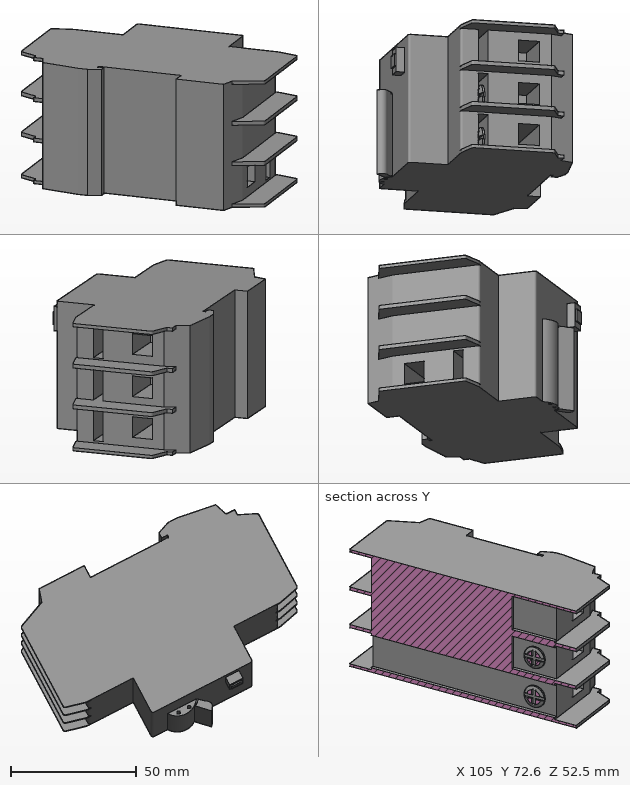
import cadquery as cq
import math

LENGTH = 105.0
WIDTH = 52.5
LEVER_TIP_Y = 72.64
TIP_X = LENGTH / 2

NECK_TOP_Y = 65.5
SHOULDER_Y = 49.4
PLATE_TIP_Y = 47.2
RAIL_Y = 5.4

NECK_LEFT_X = -22.7
NECK_RIGHT_X = 22.5
WALL_LEFT_X = -42.6
WALL_RIGHT_X = 42.5
SHOULDER_END_X = 43.4
RAIL_LEFT_X = -16.4
RAIL_RIGHT_X = 18.7
CLIP_NOSE_X = -13.8
FOOT_LEFT_X = -39.1
FOOT_RIGHT_X = 38.9
TAPER_TOP_Y = 12.1
LATCH_BACK_Y = 2.4
LATCH_STEP_X = -44.9
LATCH_STEP_Y = 7.6
LATCH_STEP_TOP_Y = 10.0
LATCH_FLAT_LEFT_X = -23.1
LATCH_FLAT_RIGHT_X = -19.0
CLIP_NOSE_Y = 2.0
CLIP_TOP_Y = 4.4
LEFT_TIP_BOTTOM_Y = 13.4
RIGHT_TIP_BOTTOM_Y = 10.3
RIGHT_TAPER_END_Y = 5.2
CORNER_RADIUS = 1.0

OUTER_PLATE_THICKNESS = 1.35
INNER_PLATE_THICKNESS = 1.6
LOWER_INNER_PLATE_Z = 17.35
UPPER_INNER_PLATE_Z = 34.15
PLATES = [
    (0.0, OUTER_PLATE_THICKNESS),
    (LOWER_INNER_PLATE_Z, INNER_PLATE_THICKNESS),
    (UPPER_INNER_PLATE_Z, INNER_PLATE_THICKNESS),
    (WIDTH - OUTER_PLATE_THICKNESS, OUTER_PLATE_THICKNESS),
]

POLE_CENTERS_Z = [9.4, 26.2, 43.6]
WIRE_HOLE_SIZE = 8.5
WIRE_HOLE_Y = 21.3
SLOT_FLOOR_Y = 38.1
SLOT_HEIGHT = 4.1
SLOT_RANGES_Z = [
    (2.2, 16.5),
    (LOWER_INNER_PLATE_Z + INNER_PLATE_THICKNESS, 33.3),
    (36.4, WIDTH - OUTER_PLATE_THICKNESS),
]
POCKET_END_X = NECK_LEFT_X

SCREW_CENTERS_Z = [8.7, 26.1]
SCREW_X = (WALL_LEFT_X + NECK_LEFT_X) / 2
SCREW_DIAMETER = 9.4
SCREW_RIM_HEIGHT = 0.8
SCREW_DOME_HEIGHT = 1.0
SCREW_CROSS_WIDTH = 1.4
SCREW_CROSS_LENGTH = 6.5
SCREW_CROSS_DEPTH = 1.2

BUTTON_X = -13.55
BUTTON_Z = 43.4
BUTTON_LENGTH = 6.0
BUTTON_WIDTH = 10.0
BUTTON_HEIGHT = 3.5
BUTTON_CAP_SIZE = 5.0
BUTTON_CAP_HEIGHT = 0.6

TOGGLE_WIDTH = 34.5
DOME_X = 9.0
DOME_TOP_Y = 69.0
DOME_RADIUS = 7.7
PIN_HOLE_DIAMETER = 1.3
PIN_HOLE_OFFSET_X = 2.37
PIN_HOLE_Y = 67.1
LEVER_TIP = (-0.55, LEVER_TIP_Y)
LEVER_NOSE_TOP = (-1.5, 71.5)
LEVER_NOSE_MIDDLE = (-1.92, 70.3)
LEVER_NOSE_BOTTOM = (-1.25, 68.7)
LEVER_BEND = (0.0, 67.75)
LEVER_END_LOWER = (1.95, 66.0)
LEVER_END_UPPER = (4.15, 68.0)
NECK_SIDE_RECESS = 0.5
NECK_LENGTH = 1.6

EMBED = 1.0


def left_taper_x(y):
    """X of the sloping left wall, which runs from the wall down to the back of the latch."""
    slope = (FOOT_LEFT_X - WALL_LEFT_X) / (TAPER_TOP_Y - LATCH_BACK_Y)
    return WALL_LEFT_X + slope * (TAPER_TOP_Y - y)


def right_taper_x(y):
    """X of the sloping right wall, which runs from the wall down to the foot."""
    slope = (FOOT_RIGHT_X - WALL_RIGHT_X) / TAPER_TOP_Y
    return WALL_RIGHT_X + slope * (TAPER_TOP_Y - y)


def plate_profile():
    """Full side outline, reaching to the tips of the barrier plates."""
    return (
        cq.Workplane("XY")
        .polyline([
            (NECK_LEFT_X, NECK_TOP_Y),
            (NECK_RIGHT_X, NECK_TOP_Y),
            (NECK_RIGHT_X, SHOULDER_Y),
            (SHOULDER_END_X, SHOULDER_Y),
            (TIP_X, PLATE_TIP_Y),
            (TIP_X, RIGHT_TIP_BOTTOM_Y),
            (right_taper_x(RIGHT_TAPER_END_Y), RIGHT_TAPER_END_Y),
            (FOOT_RIGHT_X, 0),
            (RAIL_RIGHT_X, 0),
            (RAIL_RIGHT_X, RAIL_Y),
            (RAIL_LEFT_X, RAIL_Y),
            (RAIL_LEFT_X, CLIP_TOP_Y),
            (CLIP_NOSE_X, CLIP_TOP_Y),
            (CLIP_NOSE_X, CLIP_NOSE_Y),
            (LATCH_FLAT_RIGHT_X, 0),
            (LATCH_FLAT_LEFT_X, 0),
            (FOOT_LEFT_X, LATCH_BACK_Y),
            (left_taper_x(LATCH_STEP_Y), LATCH_STEP_Y),
            (LATCH_STEP_X, LATCH_STEP_Y),
            (LATCH_STEP_X, LATCH_STEP_TOP_Y),
            (-TIP_X, LEFT_TIP_BOTTOM_Y),
            (-TIP_X, PLATE_TIP_Y),
            (-SHOULDER_END_X, SHOULDER_Y),
            (NECK_LEFT_X, SHOULDER_Y),
        ])
        .close()
    )


def outer_block():
    """Full-width block with rounded plate tips and neck corners."""
    block = plate_profile().extrude(WIDTH)
    block = block.edges("|Z and (>X or <X)").fillet(CORNER_RADIUS)
    return block.faces(">Y").edges("|Z").fillet(CORNER_RADIUS)


def core():
    """Body outline between the plates, with walls that taper in towards the feet."""
    body = (
        cq.Workplane("XY")
        .polyline([
            (WALL_LEFT_X, SHOULDER_Y),
            (WALL_RIGHT_X, SHOULDER_Y),
            (WALL_RIGHT_X, TAPER_TOP_Y),
            (FOOT_RIGHT_X, 0),
            (left_taper_x(0), 0),
            (WALL_LEFT_X, TAPER_TOP_Y),
        ])
        .close()
        .extrude(WIDTH)
    )
    return body.edges("|Z and >Y").fillet(CORNER_RADIUS)


def side_gaps(z_bottom, z_top):
    """Space outside the core, beyond the neck, between two neighbouring plates."""
    height = z_top - z_bottom
    gap = None
    for x_inner, sign in ((NECK_LEFT_X, -1), (NECK_RIGHT_X, 1)):
        reach = sign * LENGTH
        box = cq.Workplane("XY").box(LENGTH, SHOULDER_Y, height, centered=(True, False, False))
        box = box.translate((x_inner + reach / 2, 0, z_bottom))
        gap = box if gap is None else gap.union(box)
    return gap.cut(core())


def box_between(x_range, y_range, z_range):
    """Box from a (low, high) pair along each axis."""
    lows, highs = zip(x_range, y_range, z_range)
    sizes = [high - low for low, high in zip(lows, highs)]
    return cq.Workplane("XY").box(*sizes, centered=False).translate(lows)


def terminal_openings():
    """Wire holes and screw slots; the lowest pole runs right through, the others are blind."""
    openings = cq.Workplane("XY")
    wire_y = (WIRE_HOLE_Y - WIRE_HOLE_SIZE / 2, WIRE_HOLE_Y + WIRE_HOLE_SIZE / 2)
    slot_y = (SLOT_FLOOR_Y, SLOT_FLOOR_Y + SLOT_HEIGHT)
    for index, (center_z, slot_z) in enumerate(zip(POLE_CENTERS_Z, SLOT_RANGES_Z)):
        end_x = WALL_RIGHT_X if index == 0 else POCKET_END_X
        wire_z = (center_z - WIRE_HOLE_SIZE / 2, center_z + WIRE_HOLE_SIZE / 2)
        openings = openings.union(box_between((WALL_LEFT_X, end_x), wire_y, wire_z))
        openings = openings.union(box_between((WALL_LEFT_X, end_x), slot_y, slot_z))
    return openings


def screw(center_z):
    """Domed screw head with a cross recess, standing on the slot floor."""
    radius = SCREW_DIAMETER / 2
    top = SCREW_RIM_HEIGHT + SCREW_DOME_HEIGHT
    dome_radius = (radius**2 + SCREW_DOME_HEIGHT**2) / (2 * SCREW_DOME_HEIGHT)
    half_angle = math.asin(radius / dome_radius) / 2
    arc_middle = (
        dome_radius * math.sin(half_angle),
        top - dome_radius * (1 - math.cos(half_angle)),
    )
    head = (
        cq.Workplane("XY")
        .moveTo(0, -EMBED)
        .lineTo(radius, -EMBED)
        .lineTo(radius, SCREW_RIM_HEIGHT)
        .threePointArc(arc_middle, (0, top))
        .close()
        .revolve(360, (0, 0), (0, 1))
    )
    recess_y = top - SCREW_CROSS_DEPTH / 2
    for length_x, length_z in (
        (SCREW_DIAMETER, SCREW_CROSS_WIDTH),
        (SCREW_CROSS_WIDTH, SCREW_CROSS_LENGTH),
    ):
        bar = cq.Workplane("XY").box(length_x, SCREW_CROSS_DEPTH, length_z)
        head = head.cut(bar.translate((0, recess_y, 0)))
    return head.translate((SCREW_X, SLOT_FLOOR_Y, center_z))


def button():
    """Rectangular push button with a small square cap."""
    block = cq.Workplane("XY").box(
        BUTTON_LENGTH, BUTTON_HEIGHT + EMBED, BUTTON_WIDTH, centered=(True, False, True)
    ).translate((BUTTON_X, NECK_TOP_Y - EMBED, BUTTON_Z))
    cap = cq.Workplane("XY").box(
        BUTTON_CAP_SIZE, BUTTON_CAP_HEIGHT, BUTTON_CAP_SIZE, centered=(True, False, True)
    )
    return block.union(cap.translate((BUTTON_X, NECK_TOP_Y + BUTTON_HEIGHT, BUTTON_Z)))


def toggle():
    """Dome with two cross holes and a slanted lever on a slightly narrower neck."""
    dome = (
        cq.Workplane("XY")
        .center(DOME_X, DOME_TOP_Y - DOME_RADIUS)
        .circle(DOME_RADIUS)
        .extrude(TOGGLE_WIDTH)
    )
    lever = (
        cq.Workplane("XY")
        .moveTo(*LEVER_TIP)
        .lineTo(*LEVER_NOSE_TOP)
        .threePointArc(LEVER_NOSE_MIDDLE, LEVER_NOSE_BOTTOM)
        .lineTo(*LEVER_BEND)
        .lineTo(*LEVER_END_LOWER)
        .lineTo(*LEVER_END_UPPER)
        .close()
        .extrude(TOGGLE_WIDTH)
    )
    neck = (
        cq.Workplane("XY")
        .polyline([
            LEVER_END_LOWER,
            LEVER_END_UPPER,
            (LEVER_END_UPPER[0] + NECK_LENGTH, LEVER_END_UPPER[1] - NECK_LENGTH),
            (LEVER_END_LOWER[0] + NECK_LENGTH, LEVER_END_LOWER[1] - NECK_LENGTH),
        ])
        .close()
        .extrude(TOGGLE_WIDTH - 2 * NECK_SIDE_RECESS)
        .translate((0, 0, NECK_SIDE_RECESS))
    )
    pins = (
        cq.Workplane("XY")
        .pushPoints([(DOME_X - PIN_HOLE_OFFSET_X, PIN_HOLE_Y), (DOME_X + PIN_HOLE_OFFSET_X, PIN_HOLE_Y)])
        .circle(PIN_HOLE_DIAMETER / 2)
        .extrude(TOGGLE_WIDTH)
    )
    return dome.union(lever).union(neck).cut(pins)


result = outer_block()
for (lower_z, lower_thickness), (upper_z, _) in zip(PLATES, PLATES[1:]):
    result = result.cut(side_gaps(lower_z + lower_thickness, upper_z))
result = result.cut(terminal_openings())
for screw_z in SCREW_CENTERS_Z:
    result = result.union(screw(screw_z))
result = result.union(button()).union(toggle())